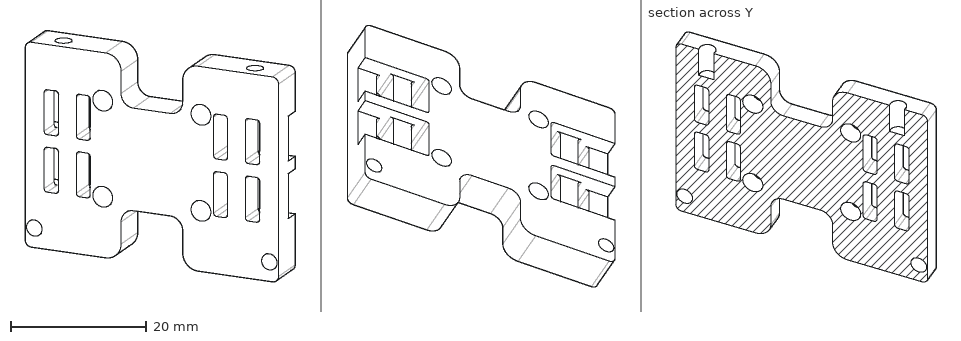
import cadquery as cq

width = 41.2
thickness = 6.0
height = 32.0
corner_radius = 1.0

notch_width = 10.0
waist_height = 16.03
notch_mouth_radius = 2.5
notch_root_radius = 2.0
corner_margin = 0.4

mount_hole_diameter = 3.2
mount_spacing_x = 16.0
mount_spacing_z = 15.0
mount_center_z = 1.0
corner_hole_diameter = 2.5
corner_hole_x = 19.1
corner_hole_z = -12.95

edge_hole_diameter = 2.5
edge_hole_x = 15.57
edge_hole_y = -0.35
edge_hole_depth = 5.0

slot_height = 7.0
slot_radius = 0.5
slot_pitch_z = 9.0
slot_center_z = 0.95
outer_slot_start = 15.2
outer_slot_end = 17.5
inner_slot_start = 10.05
inner_slot_end = 12.28

side_channel_depth = 2.45
bridge_channel_depth = 1.45

back_y = thickness / 2
slot_rows = [slot_center_z + sign * slot_pitch_z / 2 for sign in (-1, 1)]


def block(x_start, x_end, y_start, z_center, z_size):
    """Box spanning the given X range, from y_start to the back face."""
    depth = back_y - y_start
    center = ((x_start + x_end) / 2, back_y - depth / 2, z_center)
    return cq.Workplane("XY").box(x_end - x_start, depth, z_size).translate(center)


def on_both_sides(shape):
    return shape.union(shape.mirror("YZ"))


def notch_corners(z_level):
    """Selector for the edges at the notch sides, at z_level above and below centre."""
    reach_x = notch_width / 2 + corner_margin
    return cq.selectors.AndSelector(
        cq.selectors.ParallelDirSelector(cq.Vector(0, 1, 0)),
        cq.selectors.SumSelector(
            *[
                cq.selectors.BoxSelector(
                    (-reach_x, -thickness, sign * z_level - corner_margin),
                    (reach_x, thickness, sign * z_level + corner_margin),
                )
                for sign in (-1, 1)
            ]
        ),
    )


def make_plate():
    plate = cq.Workplane("XY").box(width, thickness, height).edges("|Y").fillet(corner_radius)
    notch_depth = (height - waist_height) / 2
    for sign in (-1, 1):
        notch_z = sign * (height - notch_depth) / 2
        notch = block(-notch_width / 2, notch_width / 2, -back_y, notch_z, notch_depth)
        plate = plate.cut(notch)

    plate = plate.edges(notch_corners(waist_height / 2)).fillet(notch_root_radius)
    return plate.edges(notch_corners(height / 2)).fillet(notch_mouth_radius)


def make_holes():
    mount_holes = (
        cq.Workplane("XZ", origin=(0, back_y, 0))
        .center(0, mount_center_z)
        .rarray(mount_spacing_x, mount_spacing_z, 2, 2)
        .circle(mount_hole_diameter / 2)
        .extrude(thickness)
    )
    corner_holes = (
        cq.Workplane("XZ", origin=(0, back_y, 0))
        .pushPoints([(-corner_hole_x, corner_hole_z), (corner_hole_x, corner_hole_z)])
        .circle(corner_hole_diameter / 2)
        .extrude(thickness)
    )
    edge_holes = (
        cq.Workplane("XY", origin=(0, 0, height / 2))
        .pushPoints([(-edge_hole_x, edge_hole_y), (edge_hole_x, edge_hole_y)])
        .circle(edge_hole_diameter / 2)
        .extrude(-edge_hole_depth)
    )
    return mount_holes.union(corner_holes).union(edge_holes)


def make_strap_passage(row_z):
    """Both slots of one side plus the channels that lead the strap to the edge."""
    outer = block(outer_slot_start, outer_slot_end, -back_y, row_z, slot_height)
    inner = block(inner_slot_start, inner_slot_end, -back_y, row_z, slot_height)
    outer_middle = (outer_slot_start + outer_slot_end) / 2
    inner_middle = (inner_slot_start + inner_slot_end) / 2
    side_floor = back_y - side_channel_depth
    bridge_floor = back_y - bridge_channel_depth
    side_channel = block(outer_middle, width / 2, side_floor, row_z, slot_height)
    bridge_channel = block(inner_middle, outer_middle, bridge_floor, row_z, slot_height)
    passage = outer.edges("|Y").fillet(slot_radius)
    passage = passage.union(inner.edges("|Y").fillet(slot_radius))
    return passage.union(side_channel).union(bridge_channel)


result = make_plate().cut(make_holes())
for row_z in slot_rows:
    result = result.cut(on_both_sides(make_strap_passage(row_z)))